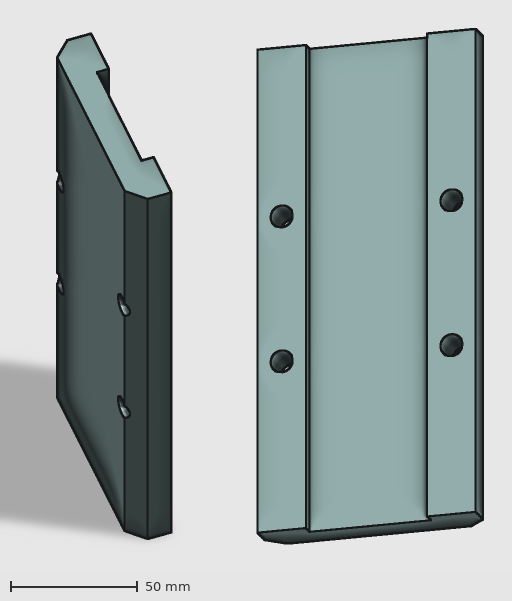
import cadquery as cq

width = 90.0
thickness = 17.0
length = 200.0

bevel_width = 7.2
bevel_depth = 7.0

channel_width = 50.0
channel_depth = 5.0

hole_diameter = 9.0
hole_spacing_x = 70.0
hole_spacing_z = 60.0


def beveled_plate():
    """Plate profile with beveled front edges, extruded along Z."""
    half_width = width / 2
    front_half_width = half_width - bevel_width
    profile = [
        (-front_half_width, 0),
        (front_half_width, 0),
        (half_width, bevel_depth),
        (half_width, thickness),
        (-half_width, thickness),
        (-half_width, bevel_depth),
    ]
    return cq.Workplane("XY").polyline(profile).close().extrude(length / 2, both=True)


def back_channel():
    """Rectangular cutter flush with the back face."""
    channel_center_y = thickness - channel_depth / 2
    return cq.Workplane("XY").box(channel_width, channel_depth, length).translate((0, channel_center_y, 0))


def mounting_holes():
    """Four cylinders running through the thickness along Y."""
    return (
        cq.Workplane("XZ")
        .rarray(hole_spacing_x, hole_spacing_z, 2, 2)
        .circle(hole_diameter / 2)
        .extrude(-thickness)
    )


result = beveled_plate().cut(back_channel()).cut(mounting_holes())